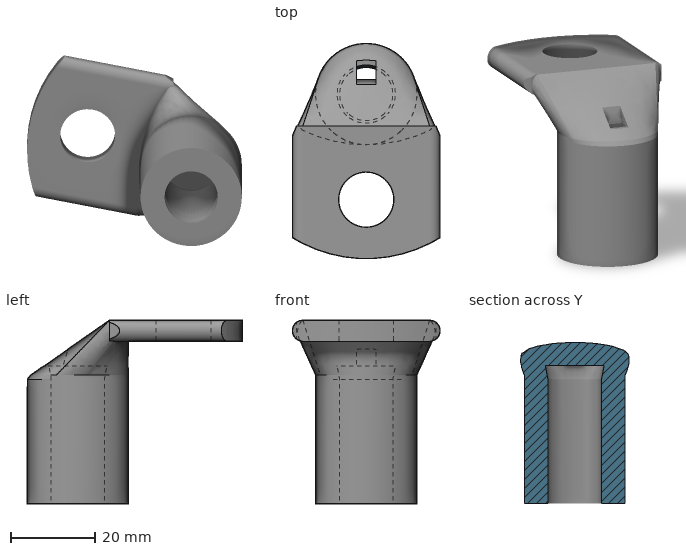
import cadquery as cq
import math

barrel_radius = 12.0
barrel_height = 29.5
bore_radius = 6.3
bore_mouth_radius = 6.9

tongue_thickness = 5.0
tongue_width = 35.0
tongue_top = 43.5
tongue_back_y = -7.5
tongue_end_y = -39.0
tongue_end_radius = 33.0
stud_hole_diameter = 13.0
stud_hole_y = -25.0

bevel_width = 1.0
bevel_length = 2.4

neck_start = 30.5
neck_half_width = 16.5
neck_corner_y = -8.6
back_split_angle = 25.0
front_split_angle = 10.0
shoulder_setback = 0.8

window_width = 4.5
window_floor = 32.7
window_back_y = 3.5
window_top = 36.7
window_top_y = 2.3

edge_radius = tongue_thickness / 2
tongue_bottom = tongue_top - tongue_thickness
flat_half_width = tongue_width / 2 - edge_radius


def make_barrel():
    return cq.Workplane("XY").circle(barrel_radius).extrude(barrel_height)


def make_tongue():
    half_width = tongue_width / 2
    end_center_y = tongue_end_y + tongue_end_radius
    end_corner_y = end_center_y - math.sqrt(tongue_end_radius**2 - half_width**2)
    bevel_x = half_width - bevel_width
    bevel_y = tongue_back_y - bevel_length
    bar = (
        cq.Workplane("XZ", origin=(0, tongue_back_y, tongue_top - edge_radius))
        .slot2D(tongue_width, tongue_thickness)
        .extrude(tongue_back_y - tongue_end_y)
    )
    plan = (
        cq.Workplane("XY", origin=(0, 0, tongue_bottom))
        .moveTo(-bevel_x, tongue_back_y)
        .lineTo(bevel_x, tongue_back_y)
        .lineTo(half_width, bevel_y)
        .lineTo(half_width, end_corner_y)
        .threePointArc((0, tongue_end_y), (-half_width, end_corner_y))
        .lineTo(-half_width, bevel_y)
        .close()
        .extrude(tongue_thickness)
    )
    return bar.intersect(plan)


def rim_point(angle, height):
    turn = math.radians(angle)
    return cq.Vector(barrel_radius * math.cos(turn), barrel_radius * math.sin(turn), height)


def rim_wire(height, back_y):
    """Barrel outline at a height, as back, left, front and right arcs; the back arc peaks at back_y."""
    back_right = rim_point(back_split_angle, height)
    back_left = rim_point(180 - back_split_angle, height)
    front_left = rim_point(180 + front_split_angle, height)
    front_right = rim_point(-front_split_angle, height)
    side_middle = (back_split_angle - front_split_angle) / 2
    return cq.Wire.assembleEdges([
        cq.Edge.makeThreePointArc(back_right, cq.Vector(0, back_y, height), back_left),
        cq.Edge.makeThreePointArc(back_left, rim_point(180 - side_middle, height), front_left),
        cq.Edge.makeThreePointArc(front_left, rim_point(270, height), front_right),
        cq.Edge.makeThreePointArc(front_right, rim_point(side_middle, height), back_right),
    ])


def neck_mouth():
    """Slot outline where the neck runs into the back end of the tongue."""
    middle_y = (tongue_back_y + neck_corner_y) / 2
    middle_z = tongue_top - edge_radius
    top_right = cq.Vector(flat_half_width, tongue_back_y, tongue_top)
    top_left = cq.Vector(-flat_half_width, tongue_back_y, tongue_top)
    bottom_right = cq.Vector(flat_half_width, neck_corner_y, tongue_bottom)
    bottom_left = cq.Vector(-flat_half_width, neck_corner_y, tongue_bottom)
    right = cq.Vector(neck_half_width, middle_y, middle_z)
    left = cq.Vector(-neck_half_width, middle_y, middle_z)
    return cq.Wire.assembleEdges([
        cq.Edge.makeLine(top_right, top_left),
        cq.Edge.makeThreePointArc(top_left, left, bottom_left),
        cq.Edge.makeLine(bottom_left, bottom_right),
        cq.Edge.makeThreePointArc(bottom_right, right, top_right),
    ])


def front_segment(left, right):
    """Circle segment between two level corner points, bowed out to the front of the barrel."""
    front = cq.Vector(0, -barrel_radius, left.z)
    return cq.Wire.assembleEdges([
        cq.Edge.makeThreePointArc(left, front, right),
        cq.Edge.makeLine(right, left),
    ])


def make_neck():
    shoulder_back_y = barrel_radius - shoulder_setback
    barrel_rim = rim_wire(barrel_height, barrel_radius)
    neck_rim = rim_wire(neck_start, shoulder_back_y)
    shoulder = cq.Solid.makeLoft([barrel_rim, neck_rim], True)
    slope = cq.Solid.makeLoft([neck_rim, neck_mouth()], True)
    lower_segment = front_segment(
        rim_point(180 + front_split_angle, neck_start),
        rim_point(-front_split_angle, neck_start),
    )
    upper_segment = front_segment(
        cq.Vector(-flat_half_width, neck_corner_y, tongue_bottom),
        cq.Vector(flat_half_width, neck_corner_y, tongue_bottom),
    )
    front = cq.Solid.makeLoft([lower_segment, upper_segment], True)
    return cq.Workplane(shoulder).union(cq.Workplane(slope)).union(cq.Workplane(front))


def make_bore():
    """Blind wire bore, opening out in a short cone where it enters the neck."""
    return (
        cq.Workplane("XZ")
        .lineTo(bore_radius, 0)
        .lineTo(bore_radius, barrel_height)
        .lineTo(bore_mouth_radius, window_floor)
        .lineTo(0, window_floor)
        .close()
        .revolve(360, (0, 0, 0), (0, 1, 0))
    )


def make_window():
    return (
        cq.Workplane("YZ")
        .moveTo(barrel_radius, window_floor)
        .lineTo(window_back_y, window_floor)
        .lineTo(window_top_y, window_top)
        .lineTo(barrel_radius, window_top)
        .close()
        .extrude(window_width / 2, both=True)
    )


def make_stud_hole():
    return (
        cq.Workplane("XY", origin=(0, stud_hole_y, tongue_bottom))
        .circle(stud_hole_diameter / 2)
        .extrude(tongue_thickness)
    )


body = make_barrel().union(make_neck()).union(make_tongue())
result = body.cut(make_bore()).cut(make_window()).cut(make_stud_hole())